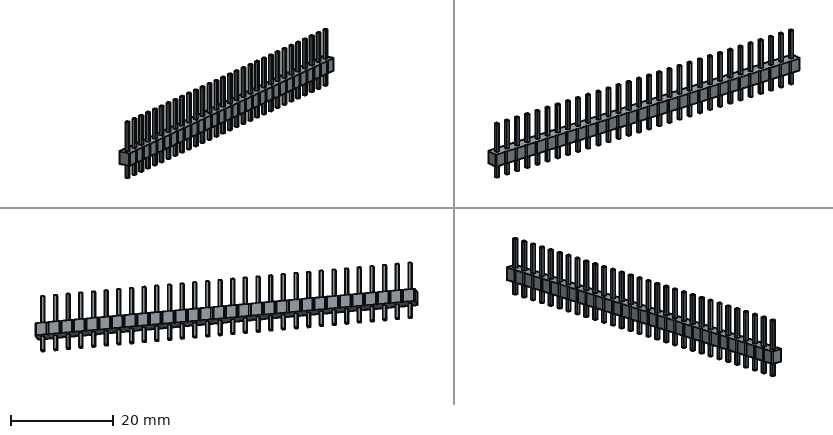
import cadquery as cq


PIN_COUNT = 30
PITCH = 2.54

BODY_WIDTH = PITCH
BODY_HEIGHT = PITCH
BODY_CHAMFER = PITCH / 10

PIN_WIDTH = 0.64
PIN_TIP_CHAMFER = PIN_WIDTH / 4
PIN_ABOVE_BODY = 6.0
PIN_BELOW_BODY = 3.0
PIN_LENGTH = PIN_ABOVE_BODY + BODY_HEIGHT + PIN_BELOW_BODY


def body_segment():
    """One pitch of the plastic strip, its upright corners cut to leave V notches between segments."""
    return (
        cq.Workplane("XY")
        .rect(BODY_WIDTH, PITCH)
        .extrude(BODY_HEIGHT)
        .edges("|Z")
        .chamfer(BODY_CHAMFER)
    )


def pin():
    """One square pin with both tips chamfered."""
    return (
        cq.Workplane("XY")
        .workplane(offset=-PIN_BELOW_BODY)
        .rect(PIN_WIDTH, PIN_WIDTH)
        .extrude(PIN_LENGTH)
        .faces("<Z or >Z")
        .edges()
        .chamfer(PIN_TIP_CHAMFER)
    )


def header():
    """The row of identical positions, joined into one solid."""
    position = body_segment().union(pin())
    row = position
    for index in range(1, PIN_COUNT):
        row = row.union(position.translate((0, -index * PITCH, 0)))
    return row.clean()


result = header()